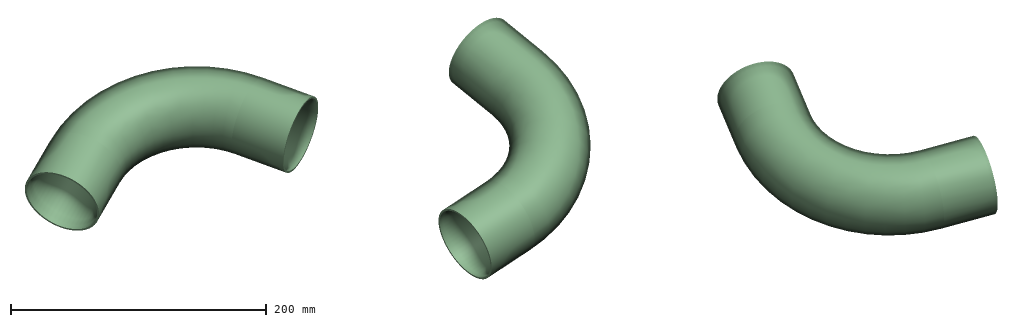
import cadquery as cq
import math

outer_diameter = 63.5
inner_diameter = 60.2

bend_radius = 1.5 * outer_diameter
bend_angle = 92.0
straight_length = 44.45


def centreline():
    """Path that starts at the origin along +Y and bends toward +X."""
    turn = math.radians(bend_angle)

    def on_bend(angle):
        x = bend_radius * (1 - math.cos(angle))
        y = straight_length + bend_radius * math.sin(angle)
        return x, y

    bend_end = on_bend(turn)
    outlet_end = (
        bend_end[0] + straight_length * math.sin(turn),
        bend_end[1] + straight_length * math.cos(turn),
    )
    return (
        cq.Workplane("XY")
        .lineTo(0, straight_length)
        .threePointArc(on_bend(turn / 2), bend_end)
        .lineTo(*outlet_end)
    )


def elbow(path):
    """Hollow round tube that follows the path."""
    section = cq.Workplane("XZ").circle(outer_diameter / 2).circle(inner_diameter / 2)
    return section.sweep(path)


result = elbow(centreline())